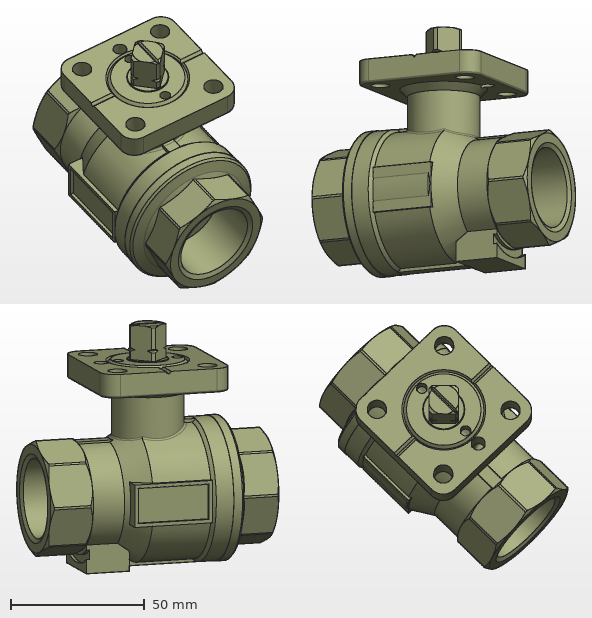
import cadquery as cq
import math


end_face = 45.0
octagon_across_flats = 41.0
octagon_corner_radius = 22.0
octagon_face_radius = 20.4
octagon_front_chamfer = 0.9
octagon_back_chamfer = 1.5
octagon_inner_end = 28.1
bore_radius = 15.1
bore_mouth_radius = 16.9
bore_mouth_depth = 0.9
bore_floor = 24.7

neck_radius = 20.4
shoulder_start = -15.85
shoulder_end = -6.3
body_radius = 26.1
cap_slope_start = 16.7
cap_start = 18.05
cap_band_start = 24.9
cap_end = 29.1
cap_step_radius = 27.3
cap_radius = 27.5
cap_edge_chamfer = 0.8
cap_cone_end = 30.4
cap_cone_radius = 22.5
cap_root_end = 31.6

rib_width = 5.0
neck_rib_top = 21.1
body_rib_height = 27.3
bottom_rib_start = -11.2

foot_width = 24.1
foot_groove_outer_radius = 25.1
foot_groove_depth = 1.3

front_pad_start = -13.8
pad_end = 16.9
front_pad_face = 26.5
front_pad_height = 16.1
pad_border = 1.4
pad_recess_depth = 1.3
back_pad_start = -7.3
back_pad_face = 25.75
back_pad_height = 17.1

column_radius = 13.7
column_flare_height = 2.8
column_root_fillet = 0.8

flange_side = 50.0
flange_bottom = 41.2
flange_top = 50.3
flange_corner_radius = 6.05
flange_bottom_fillet = 0.6
bolt_offset = 17.7
bolt_hole_diameter = 7.15
vent_offset = 18.4
vent_diameter = 5.1
mark_half_width = 1.0

ring_outer_radius = 15.7
ring_floor_radius = 15.0
ring_floor = 49.6
gland_radius = 13.9
gland_top = 50.7
spanner_hole_offset = 11.6
spanner_hole_diameter = 3.9
spanner_hole_depth = 4.6
drill_point_angle = 118

stem_top = 64.15
stem_collar_radius = 8.0
stem_collar_top = 50.95
stem_collar_chamfer = 0.4
stem_across_flats = 11.1
stem_corner_radius = 7.1
stem_top_radius = 5.8
stem_top_chamfer = 0.5
stem_groove_height = 54.8
stem_groove_half_height = 0.6
stem_groove_depth = 0.9
stem_slot_half_width = 0.6

OVERLAP = 0.9
TOLERANCE = 0.01


def spun_about_x(points):
    """Revolve an (x, radius) outline about the X axis."""
    return cq.Workplane("XY").polyline(points).close().revolve(360, (0, 0, 0), (1, 0, 0))


def spun_about_z(points):
    """Revolve a (radius, z) outline about the Z axis."""
    return cq.Workplane("XZ").polyline(points).close().revolve(360, (0, 0, 0), (0, 1, 0))


def block(x_range, y_range, z_range):
    """Box between the given limits along each axis."""
    sizes = [high - low for low, high in (x_range, y_range, z_range)]
    corner = (x_range[0], y_range[0], z_range[0])
    return cq.Workplane("XY").box(*sizes, centered=False).translate(corner)


def octagon_end():
    """Octagonal end on the -X side, with rounded corners and turned chamfers."""
    circumscribed = octagon_across_flats / math.cos(math.pi / 8)
    octagon = (
        cq.Workplane("YZ", origin=(-end_face, 0, 0))
        .polygon(8, circumscribed)
        .extrude(end_face - octagon_inner_end)
    )
    envelope = spun_about_x([
        (-end_face, 0),
        (-end_face, octagon_face_radius),
        (-end_face + octagon_front_chamfer, octagon_corner_radius),
        (-octagon_inner_end - octagon_back_chamfer, octagon_corner_radius),
        (-octagon_inner_end, octagon_face_radius),
        (-octagon_inner_end, 0),
    ])
    return octagon.intersect(envelope)


def end_bore():
    """Blind bore of the -X end with a conical mouth."""
    return spun_about_x([
        (-end_face, 0),
        (-end_face, bore_mouth_radius),
        (-end_face + bore_mouth_depth, bore_radius),
        (-bore_floor, bore_radius),
        (-bore_floor, 0),
    ])


def turned_body():
    """Neck, conical shoulder, body and screwed-in cap."""
    return spun_about_x([
        (-octagon_inner_end - OVERLAP, 0),
        (-octagon_inner_end - OVERLAP, neck_radius),
        (shoulder_start, neck_radius),
        (shoulder_end, body_radius),
        (cap_slope_start, body_radius),
        (cap_start, cap_step_radius),
        (cap_band_start, cap_step_radius),
        (cap_band_start, cap_radius),
        (cap_end - cap_edge_chamfer, cap_radius),
        (cap_end, cap_radius - cap_edge_chamfer),
        (cap_cone_end, cap_cone_radius),
        (cap_root_end, octagon_face_radius),
        (cap_root_end, 0),
    ])


def ribs():
    """Flat-topped ribs on the neck and along the top and bottom of the body."""
    across = (-rib_width / 2, rib_width / 2)
    neck_rib = block((-octagon_inner_end - octagon_back_chamfer, 0), across, (0, neck_rib_top))
    top_rib = block((0, cap_start), across, (0, body_rib_height))
    bottom_rib = block((bottom_rib_start, cap_start), across, (-body_rib_height, 0))
    return neck_rib.union(top_rib).union(bottom_rib)


def foot():
    """Block under the neck, with a ring groove behind the octagon."""
    base = block(
        (-octagon_inner_end, bottom_rib_start),
        (-foot_width / 2, foot_width / 2),
        (-cap_radius, 0),
    )
    groove = (
        cq.Workplane("YZ", origin=(-octagon_inner_end, 0, 0))
        .circle(foot_groove_outer_radius)
        .circle(octagon_corner_radius)
        .extrude(foot_groove_depth)
    )
    return base.cut(groove)


def side_pads():
    """Flat pads on the -Y and +Y sides of the body."""
    front_half = front_pad_height / 2
    back_half = back_pad_height / 2
    front = block((front_pad_start, pad_end), (-front_pad_face, 0), (-front_half, front_half))
    back = block((back_pad_start, pad_end), (0, back_pad_face), (-back_half, back_half))
    return front.union(back)


def front_pad_recess():
    """Shallow rectangular pocket inside the border of the -Y pad."""
    half_height = front_pad_height / 2 - pad_border
    return block(
        (front_pad_start + pad_border, pad_end - pad_border),
        (-front_pad_face, -front_pad_face + pad_recess_depth),
        (-half_height, half_height),
    )


def column():
    """Round column on the body."""
    return cq.Workplane("XY").circle(column_radius).extrude(flange_bottom)


def column_flare():
    """45 degree flare joining the column to the flange."""
    return spun_about_z([
        (0, flange_bottom - column_flare_height),
        (column_radius, flange_bottom - column_flare_height),
        (column_radius + column_flare_height, flange_bottom),
        (0, flange_bottom),
    ])


def flange():
    """Square flange with rounded corners."""
    return (
        cq.Workplane("XY", origin=(0, 0, flange_bottom))
        .rect(flange_side, flange_side)
        .extrude(flange_top - flange_bottom)
        .edges("|Z").fillet(flange_corner_radius)
        .faces("<Z").edges().fillet(flange_bottom_fillet)
    )


def flange_holes():
    """Four bolt holes and one vent hole through the flange and the rim of its flare."""
    hole_bottom = flange_bottom - column_flare_height
    sheet = cq.Workplane("XY", origin=(0, 0, hole_bottom))
    depth = flange_top - hole_bottom
    bolts = (
        sheet.rect(2 * bolt_offset, 2 * bolt_offset, forConstruction=True)
        .vertices().circle(bolt_hole_diameter / 2).extrude(depth)
    )
    vent = sheet.center(-vent_offset, 0).circle(vent_diameter / 2).extrude(depth)
    return bolts.union(vent)


def flange_marks():
    """V groove along Y across the top of the flange."""
    return (
        cq.Workplane("XZ", origin=(0, flange_side / 2, 0))
        .moveTo(-mark_half_width, flange_top)
        .lineTo(0, flange_top - mark_half_width)
        .lineTo(mark_half_width, flange_top)
        .close()
        .extrude(flange_side)
    )


def gland_seat():
    """Conical-sided seat turned into the flange around the gland disc."""
    return spun_about_z([
        (0, ring_floor),
        (ring_floor_radius, ring_floor),
        (ring_outer_radius, flange_top),
        (0, flange_top),
    ])


def gland():
    """Gland disc with a chamfered rim."""
    return spun_about_z([
        (0, flange_bottom),
        (gland_radius, flange_bottom),
        (ring_floor_radius, ring_floor),
        (gland_radius, gland_top),
        (0, gland_top),
    ])


def spanner_holes():
    """Two blind drilled holes in the gland disc."""
    radius = spanner_hole_diameter / 2
    floor = gland_top - spanner_hole_depth
    tip = floor - radius / math.tan(math.radians(drill_point_angle / 2))
    hole = spun_about_z([(0, tip), (radius, floor), (radius, gland_top), (0, gland_top)])
    left = hole.translate((-spanner_hole_offset, 0, 0))
    right = hole.translate((spanner_hole_offset, 0, 0))
    return left.union(right)


def stem():
    """Collar and square head with turned corners, a ring groove and a slot along X."""
    collar = (
        cq.Workplane("XY", origin=(0, 0, flange_top))
        .circle(stem_collar_radius)
        .extrude(stem_collar_top - flange_top)
        .faces(">Z").edges().chamfer(stem_collar_chamfer)
    )
    square = (
        cq.Workplane("XY", origin=(0, 0, flange_top))
        .rect(stem_across_flats, stem_across_flats)
        .extrude(stem_top - flange_top)
        .rotate((0, 0, 0), (0, 0, 1), 45)
    )
    envelope = spun_about_z([
        (0, flange_top),
        (stem_corner_radius, flange_top),
        (stem_corner_radius, stem_groove_height - stem_groove_half_height),
        (stem_corner_radius - stem_groove_depth, stem_groove_height),
        (stem_corner_radius, stem_groove_height + stem_groove_half_height),
        (stem_corner_radius, stem_top - stem_top_chamfer),
        (stem_top_radius, stem_top),
        (0, stem_top),
    ])
    slot = (
        cq.Workplane("YZ", origin=(-stem_corner_radius, 0, 0))
        .moveTo(-stem_slot_half_width, stem_top)
        .lineTo(0, stem_top - stem_slot_half_width)
        .lineTo(stem_slot_half_width, stem_top)
        .close()
        .extrude(2 * stem_corner_radius)
    )
    return square.intersect(envelope).cut(slot).union(collar)


def is_column_root(edge):
    """True for curved edges where the column wall meets the body below it."""
    samples = edge.positions([0, 0.3, 0.5, 0.8, 1])
    on_wall = all(
        math.isclose(math.hypot(point.x, point.y), column_radius, abs_tol=TOLERANCE)
        for point in samples
    )
    is_low = edge.BoundingBox().zmax < body_rib_height + OVERLAP
    return on_wall and is_low and edge.geomType() != "LINE"


body = turned_body().union(ribs()).union(column())
root_edges = [edge for edge in body.edges().vals() if is_column_root(edge)]
body = body.newObject(root_edges).fillet(column_root_fillet)
body = body.union(foot()).union(side_pads()).cut(front_pad_recess())

body = body.union(octagon_end()).union(octagon_end().mirror("YZ"))
body = body.cut(end_bore()).cut(end_bore().mirror("YZ"))

top = flange().union(column_flare()).cut(flange_holes()).cut(flange_marks())
top = top.cut(gland_seat()).union(gland()).cut(spanner_holes()).union(stem())

result = body.union(top)